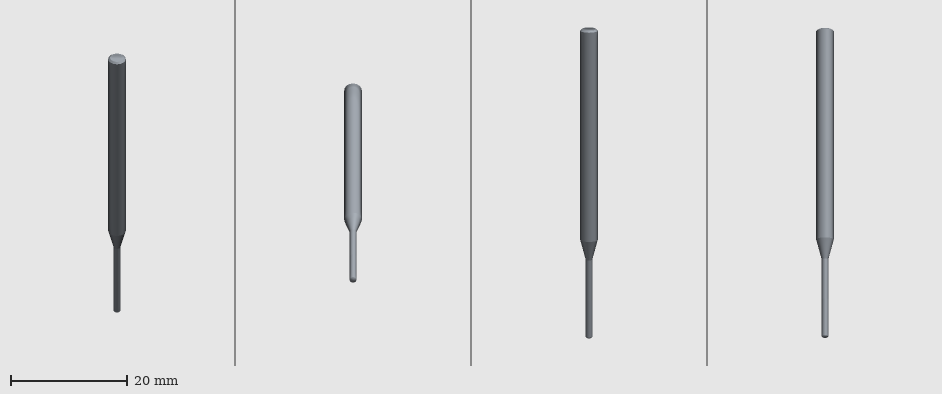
import cadquery as cq
import math

total_length = 55.0
shank_radius = 3.0 / 2
neck_radius = 1.15 / 2
cutter_radius = neck_radius

cutter_top = 6.9
taper_bottom = 14.0
taper_top = 17.55

shank_chamfer_width = 0.35
shank_chamfer_height = 0.3
tip_dome_height = 0.3


def make_shank():
    """Gripping shank, tapering down to the slim neck, with a chamfered upper end."""
    profile = (
        cq.Workplane("XZ")
        .moveTo(0, cutter_top)
        .lineTo(neck_radius, cutter_top)
        .lineTo(neck_radius, taper_bottom)
        .lineTo(shank_radius, taper_top)
        .lineTo(shank_radius, total_length - shank_chamfer_height)
        .lineTo(shank_radius - shank_chamfer_width, total_length)
        .lineTo(0, total_length)
        .close()
    )
    return profile.revolve(360, (0, 0, 0), (0, 1, 0))


def make_cutter():
    """Cylindrical cutting end with a shallow domed tip, butted against the neck."""
    dome_radius = (cutter_radius**2 + tip_dome_height**2) / (2 * tip_dome_height)
    mid_x = cutter_radius / 2
    mid_z = dome_radius - math.sqrt(dome_radius**2 - mid_x**2)
    profile = (
        cq.Workplane("XZ")
        .moveTo(0, 0)
        .threePointArc((mid_x, mid_z), (cutter_radius, tip_dome_height))
        .lineTo(cutter_radius, cutter_top)
        .lineTo(0, cutter_top)
        .close()
    )
    return profile.revolve(360, (0, 0, 0), (0, 1, 0))


shank = make_shank()
cutter = make_cutter()

result = cq.Compound.makeCompound([shank.val(), cutter.val()])